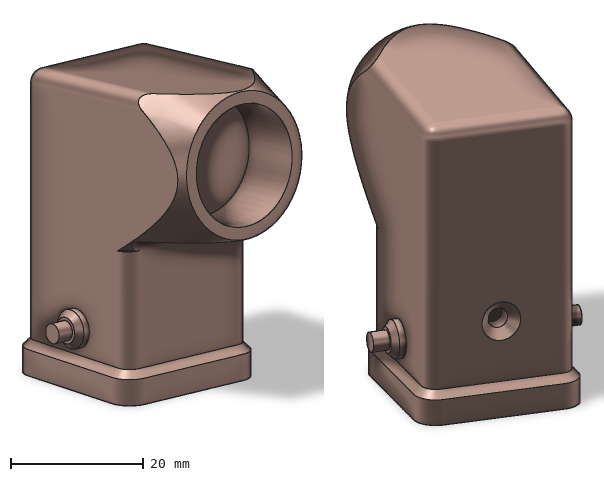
import cadquery as cq
import math


base_width = 26.5
base_straight_height = 4.15
base_corner_radius = 3.5

column_width = 24.05
column_half = column_width / 2
step = (base_width - column_width) / 2
base_top = base_straight_height + step
edge_radius = base_corner_radius - step

overall_length = 38.98
overall_height = 49.98
arm_tilt = 3.6
arm_half_height = 11.58
rim_radius = 11.45
cone_half_angle = 22.5
elbow_radius = 2.2
bore_radius = 9.5
bore_depth = 10.0

pin_height = 9.5
pin_radius = 1.55
pin_span = 33.5
boss_radius = 3.05
boss_chamfer = 1.0
boss_span = 28.2

hole_height = 15.1
hole_radius = 1.55
countersink_radius = 3.1
countersink_depth = countersink_radius - hole_radius
hole_straight_depth = 2.5

tilt = math.radians(arm_tilt)
tilt_sine = math.sin(tilt)
tilt_cosine = math.cos(tilt)
rim_x = overall_length - base_width / 2 - rim_radius * tilt_sine
taper_slope = math.tan(math.radians(cone_half_angle))
apex_setback = (arm_half_height - rim_radius) / taper_slope
rim_z = overall_height - arm_half_height * tilt_cosine + apex_setback * tilt_sine
arm_plane = cq.Plane(origin=(rim_x, 0, rim_z), xDir=(tilt_cosine, 0, tilt_sine), normal=(0, -1, 0))


def arm_point(along, across):
    """XZ position of a point given in the arm frame."""
    x = rim_x + along * tilt_cosine - across * tilt_sine
    z = rim_z + along * tilt_sine + across * tilt_cosine
    return (x, z)


def arm_face_point(x, across):
    """XZ position on an arm face at a given X."""
    along = (x - rim_x + across * tilt_sine) / tilt_cosine
    return arm_point(along, across)


elbow_corner = arm_face_point(column_half, -arm_half_height)
elbow_tangent = elbow_radius * math.tan((math.pi / 2 - tilt) / 2)
elbow_depth = arm_half_height + elbow_tangent * tilt_cosine
arm_reach = 2 * overall_length


def make_base():
    base = (
        cq.Workplane("XY")
        .rect(base_width, base_width)
        .extrude(base_top)
        .edges("|Z")
        .fillet(base_corner_radius)
    )
    return base.faces(">Z").edges().chamfer(step)


def make_above_elbow():
    """Block that covers everything above the sloping plane at the foot of the elbow."""
    return (
        cq.Workplane(arm_plane)
        .center(-arm_reach / 2, arm_reach / 2 - elbow_depth)
        .rect(2 * arm_reach, arm_reach)
        .extrude(column_width, both=True)
    )


def make_column():
    column = (
        cq.Workplane("XY")
        .rect(column_width, column_width)
        .extrude(overall_height)
        .edges("|Z")
        .fillet(edge_radius)
    )
    return column.cut(make_above_elbow())


def make_taper():
    """Cone around the arm axis that narrows to the rim."""
    back_radius = rim_radius + arm_reach * taper_slope
    return (
        cq.Workplane(arm_plane)
        .polyline([(0, 0), (0, rim_radius), (-arm_reach, back_radius), (-arm_reach, 0)])
        .close()
        .revolve(360, (0, 0), (1, 0))
    )


def make_arm():
    outline = [
        (-column_half, base_top),
        (column_half, base_top),
        elbow_corner,
        arm_point(0, -arm_half_height),
        arm_point(0, arm_half_height),
        arm_face_point(-column_half, arm_half_height),
    ]
    arm = cq.Workplane("XZ").polyline(outline).close().extrude(column_half, both=True)
    elbow_finder = cq.selectors.NearestToPointSelector((elbow_corner[0], 0, elbow_corner[1]))
    arm = arm.edges("|Y").edges(elbow_finder).fillet(elbow_radius)
    top_face = cq.selectors.DirectionMinMaxSelector(cq.Vector(-tilt_sine, 0, tilt_cosine))
    back_and_sides = arm.faces("<X").edges("|Z or >Z").add(arm.faces(top_face).edges("not |Y"))
    arm = back_and_sides.fillet(edge_radius)
    return arm.intersect(make_taper()).intersect(make_above_elbow())


def make_pins():
    boss = (
        cq.Workplane("XZ", origin=(0, 0, pin_height))
        .circle(boss_radius)
        .extrude(boss_span / 2, both=True)
        .faces("<Y or >Y")
        .chamfer(boss_chamfer)
    )
    pin = cq.Workplane("XZ", origin=(0, 0, pin_height)).circle(pin_radius).extrude(pin_span / 2, both=True)
    return boss.union(pin)


def make_bore():
    bore_plane = cq.Plane(origin=(rim_x, 0, rim_z), xDir=(0, 1, 0), normal=(tilt_cosine, 0, tilt_sine))
    return cq.Workplane(bore_plane).circle(bore_radius).extrude(-bore_depth)


def make_back_hole():
    hole_depth = countersink_depth + hole_straight_depth
    profile = [
        (0, 0),
        (0, countersink_radius),
        (countersink_depth, hole_radius),
        (hole_depth, hole_radius),
        (hole_depth, 0),
    ]
    return (
        cq.Workplane("XZ", origin=(-column_half, 0, hole_height))
        .polyline(profile)
        .close()
        .revolve(360, (0, 0), (1, 0))
    )


hood = make_base().union(make_column()).union(make_arm()).union(make_pins()).clean()
result = hood.cut(make_bore()).cut(make_back_hole())